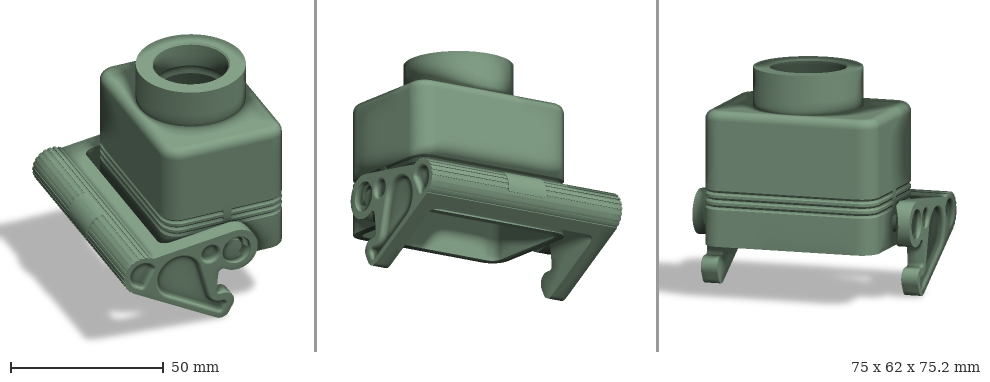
import cadquery as cq
import math

HOUSING_LENGTH = 59.85
HOUSING_WIDTH = 43.0
HOUSING_HEIGHT = 44.8
CORNER_RADIUS = 6.0
TOP_FILLET = 3.0
WALL = 3.0
ROOF = WALL

COLLAR_RADIUS = 18.05
COLLAR_TOP = 57.9
BORE_RADIUS = 12.4
BORE_CHAMFER = 0.5
BORE_DEPTH = 8.6
RELIEF_RADIUS = 13.0
RELIEF_MID_DEPTH = 9.8
RELIEF_DEPTH = 10.9
PASSAGE_RADIUS = 11.4

GROOVE_COUNT = 3
GROOVE_TOP_CENTRE = 17.9
GROOVE_PITCH = 2.4
GROOVE_DEPTH = 0.75
GROOVE_BREAK = 2.85

PIVOT_Z = 7.45
HUB_RADIUS = 7.5
LEVER_HALF_LENGTH = 37.5
ARM_THICKNESS = 5.65
ARM_INNER_X = LEVER_HALF_LENGTH - ARM_THICKNESS
TOP_SLOPE = math.radians(7)
BOTTOM_SLOPE = math.radians(29.2)
OPENING_REACH = 24.6
OPENING_FILLET = 3.0
ARM_TIP_CHAMFER_X = 1.9
ARM_TIP_CHAMFER_Y = 3.4

HANDLE_U = 33.4
HANDLE_V = -1.8
HANDLE_RADIUS = 6.85
GRIP_COUNT = 11
GRIP_FIRST_ANGLE = -52.5
GRIP_PITCH_ANGLE = 16.0
GRIP_WIDTH = 0.8
GRIP_DEPTH = 0.3
LABEL_HALF_LENGTH = 7.4
LABEL_RAISE = 0.3
LABEL_START_ANGLE = -9.0
LABEL_END_ANGLE = 60.0
LABEL_GRIP_ANGLES = (-10.0, 80.0)

HOOK_RADIUS = 3.4
HOOK_CORNER = (5.65, -21.35)
HOOK_TIP = (4.3, -18.9)
THROAT_LOW = (5.95, -14.1)
THROAT_LOW_RADIUS = 1.35
THROAT_HIGH_RADIUS = 1.6
THROAT_HIGH_ANGLE = math.radians(-57)

POCKET_DEPTH = 2.2
POCKET_FILLET = 0.9
POCKET_CORNER = 1.0
ROUND_POCKET = (9.3, 0.6)
ROUND_POCKET_RADIUS = 2.9
LARGE_POCKET = (20.5, -5.5)
LARGE_POCKET_RADIUS = 7.5
LARGE_POCKET_LOW = (5.9, -21.3)
LARGE_POCKET_TIP = (4.95, -19.7)
LARGE_POCKET_THROAT = (5.6, -14.0)
HANDLE_POCKET_RADIUS = 4.3
HANDLE_POCKET_CHORD = 2.5

RECESS_RADIUS = 5.0
RECESS_DEPTH = 2.2
EYE_U = -0.3
EYE_V = 1.0
EYE_RADIUS = 3.0
EYE_SLOT_WIDTH = 3.1
EYE_SLOT_ANGLE = -135
PEG_RADIUS = 2.6
PEG_END_X = LEVER_HALF_LENGTH - RECESS_DEPTH
PEG_CONE_GROWTH = 0.74
PEG_CONE_LENGTH = {-1: 0.4, 1: 1.4}

SIDE_PLANE = cq.Plane(origin=(0, 0, PIVOT_Z), xDir=(0, -1, 0), normal=(-1, 0, 0))
OUTER_PLANE = cq.Plane(
    origin=(-LEVER_HALF_LENGTH, 0, PIVOT_Z), xDir=SIDE_PLANE.xDir, normal=SIDE_PLANE.zDir
)
ALONG = (math.cos(BOTTOM_SLOPE), math.sin(BOTTOM_SLOPE))
DOWN = (math.sin(BOTTOM_SLOPE), -math.cos(BOTTOM_SLOPE))
HANDLE = (HANDLE_U, HANDLE_V)


def shifted(point, along, down):
    """Move a side-plane point along, and square to, the lever's sloping underside."""
    u = point[0] + along * ALONG[0] + down * DOWN[0]
    v = point[1] + along * ALONG[1] + down * DOWN[1]
    return u, v


def tangent_normal_angle(first, second):
    """Angle of the left-hand normal of the line that leaves one circle and meets the next."""
    (u1, v1, r1), (u2, v2, r2) = first, second
    du = u2 - u1
    dv = v2 - v1
    ratio = max(-1.0, min(1.0, (r1 - r2) / math.hypot(du, dv)))
    return math.atan2(dv, du) + math.acos(ratio)


def on_circle(circle, angle):
    """Point of a circle (u, v, radius) at an angle."""
    u, v, radius = circle
    return u + radius * math.cos(angle), v + radius * math.sin(angle)


def tangent_outline(plane, circles):
    """Closed clockwise outline around circles (u, v, radius) joined by tangent lines.

    A negative radius is a concave arc and a zero radius is a sharp corner.
    """
    count = len(circles)
    normals = [tangent_normal_angle(circles[i], circles[(i + 1) % count]) for i in range(count)]
    start = on_circle(circles[0], normals[-1])
    position = start
    outline = cq.Workplane(plane).moveTo(*start)
    for i, circle in enumerate(circles):
        arrive = normals[i - 1]
        leave = normals[i]
        if circle[2] != 0:
            turn = (arrive - leave) % (2 * math.pi)
            if circle[2] < 0:
                turn -= 2 * math.pi
            position = on_circle(circle, leave)
            outline = outline.threePointArc(on_circle(circle, arrive - turn / 2), position)
        target = on_circle(circles[(i + 1) % count], leave)
        if math.dist(position, target) > 0.001 and i < count - 1:
            outline = outline.lineTo(*target)
            position = target
    return outline.close()


def rounded_block(length, width, height, radius):
    """Block standing on Z = 0 with rounded vertical edges."""
    block = cq.Workplane("XY").rect(length, width).extrude(height)
    return block.edges("|Z").fillet(radius)


def groove_ring(centre_z):
    """V groove around the housing, left out on a strip in the middle of both end walls."""
    slab = rounded_block(HOUSING_LENGTH, HOUSING_WIDTH, GROOVE_DEPTH, CORNER_RADIUS)
    path = slab.translate((0, 0, centre_z)).faces("<Z").wires().val()
    tip = (GROOVE_DEPTH, 0)
    upper = (-GROOVE_DEPTH, 2 * GROOVE_DEPTH)
    lower = (-GROOVE_DEPTH, -2 * GROOVE_DEPTH)
    section = cq.Workplane("YZ", origin=(0, -HOUSING_WIDTH / 2, centre_z)).polyline([upper, tip, lower]).close()
    ring = section.sweep(cq.Workplane(path))
    strip = cq.Workplane("XY", origin=(0, 0, centre_z)).box(2 * HOUSING_LENGTH, GROOVE_BREAK, GROOVE_PITCH)
    return ring.cut(strip)


def cable_entry():
    """Stepped round passage through the collar and the roof."""
    return (
        cq.Workplane("XZ")
        .moveTo(0, COLLAR_TOP)
        .lineTo(BORE_RADIUS + BORE_CHAMFER, COLLAR_TOP)
        .lineTo(BORE_RADIUS, COLLAR_TOP - BORE_CHAMFER)
        .lineTo(BORE_RADIUS, COLLAR_TOP - BORE_DEPTH)
        .threePointArc(
            (RELIEF_RADIUS, COLLAR_TOP - RELIEF_MID_DEPTH),
            (PASSAGE_RADIUS, COLLAR_TOP - RELIEF_DEPTH),
        )
        .lineTo(PASSAGE_RADIUS, HOUSING_HEIGHT / 2)
        .lineTo(0, HOUSING_HEIGHT / 2)
        .close()
        .revolve(360, (0, 0, 0), (0, 1, 0))
    )


def peg(side):
    """Pivot peg on one end wall: a short cone and then a plain shaft."""
    wall_x = HOUSING_LENGTH / 2
    cone_length = PEG_CONE_LENGTH[side]
    base_radius = PEG_RADIUS + PEG_CONE_GROWTH * cone_length
    root_x = wall_x - WALL / 2
    profile = [
        (root_x, 0),
        (root_x, base_radius),
        (wall_x, base_radius),
        (wall_x + cone_length, PEG_RADIUS),
        (PEG_END_X, PEG_RADIUS),
        (PEG_END_X, 0),
    ]
    points = [(side * x, y) for x, y in profile]
    half = cq.Workplane("XY", origin=(0, 0, PIVOT_Z)).polyline(points).close()
    return half.revolve(360, (0, 0, 0), (1, 0, 0))


def make_housing():
    body = rounded_block(HOUSING_LENGTH, HOUSING_WIDTH, HOUSING_HEIGHT, CORNER_RADIUS)
    body = body.faces(">Z").edges().fillet(TOP_FILLET)
    collar_base = HOUSING_HEIGHT - ROOF / 2
    collar = cq.Workplane("XY", origin=(0, 0, collar_base)).circle(COLLAR_RADIUS)
    body = body.union(collar.extrude(COLLAR_TOP - collar_base))
    cavity = rounded_block(
        HOUSING_LENGTH - 2 * WALL, HOUSING_WIDTH - 2 * WALL, HOUSING_HEIGHT - ROOF, CORNER_RADIUS - WALL
    )
    body = body.cut(cavity).cut(cable_entry())
    for i in range(GROOVE_COUNT):
        body = body.cut(groove_ring(GROOVE_TOP_CENTRE - i * GROOVE_PITCH))
    for side in (-1, 1):
        body = body.union(peg(side))
    return body


def across(outline):
    """Extrude a side-plane outline over the full length of the lever."""
    return outline.extrude(LEVER_HALF_LENGTH, both=True)


def lever_body():
    top_v = HUB_RADIUS / math.cos(TOP_SLOPE) - HANDLE_U * math.tan(TOP_SLOPE)
    throat_distance = HUB_RADIUS + THROAT_HIGH_RADIUS
    throat_high = on_circle((0, 0, throat_distance), THROAT_HIGH_ANGLE)
    circles = [
        (0, 0, HUB_RADIUS),
        (HANDLE_U, top_v, 0),
        (*shifted(HANDLE, 0, HANDLE_RADIUS), 0),
        (*HOOK_CORNER, HOOK_RADIUS),
        (*HOOK_TIP, HOOK_RADIUS),
        (*THROAT_LOW, -THROAT_LOW_RADIUS),
        (*throat_high, -THROAT_HIGH_RADIUS),
    ]
    return across(tangent_outline(SIDE_PLANE, circles))


def grip_groove(angle):
    """Shallow lengthwise groove in the handle, kept clear of the label where they meet."""
    groove = (
        cq.Workplane("XY")
        .box(2 * LEVER_HALF_LENGTH, 2 * GRIP_DEPTH, GRIP_WIDTH)
        .translate((0, -HANDLE_RADIUS, 0))
        .rotate((0, 0, 0), (1, 0, 0), -angle)
        .translate((0, -HANDLE_U, PIVOT_Z + HANDLE_V))
    )
    first, last = LABEL_GRIP_ANGLES
    if first < angle < last:
        keep = cq.Workplane(SIDE_PLANE).center(*HANDLE).circle(2 * HANDLE_RADIUS)
        groove = groove.cut(keep.extrude(LABEL_HALF_LENGTH, both=True))
    return groove


def label_plate():
    """Raised curved plate in the middle of the handle."""
    outer = (0, 0, HANDLE_RADIUS + LABEL_RAISE)
    start = math.radians(LABEL_START_ANGLE)
    end = math.radians(LABEL_END_ANGLE)
    sector = (
        cq.Workplane(SIDE_PLANE)
        .center(*HANDLE)
        .lineTo(*on_circle(outer, start))
        .threePointArc(on_circle(outer, (start + end) / 2), on_circle(outer, end))
        .close()
    )
    return sector.extrude(LABEL_HALF_LENGTH, both=True)


def arm_opening():
    """Space between the arms; its end wall is square to the sloping underside."""
    top_v = HUB_RADIUS / math.cos(TOP_SLOPE) - OPENING_REACH * math.tan(TOP_SLOPE)
    size = 2 * HANDLE_U
    plane = cq.Plane(
        origin=(0, -OPENING_REACH, PIVOT_Z + top_v),
        xDir=(1, 0, 0),
        normal=(0, DOWN[0], -DOWN[1]),
    )
    block = cq.Workplane(plane).center(0, size / 2).rect(2 * ARM_INNER_X, size).extrude(size, both=True)
    return block.edges(cq.selectors.ParallelDirSelector(plane.zDir)).fillet(OPENING_FILLET)


def arm_tip_chamfer(side):
    """Wedge that bevels the inner corner at the +Y end of an arm."""
    inner = side * ARM_INNER_X
    outer = side * (ARM_INNER_X + ARM_TIP_CHAMFER_X)
    corners = [(inner, HUB_RADIUS - ARM_TIP_CHAMFER_Y), (outer, HUB_RADIUS), (inner, HUB_RADIUS)]
    wedge = cq.Workplane("XY", origin=(0, 0, PIVOT_Z)).polyline(corners).close()
    return wedge.extrude(HUB_RADIUS, both=True)


def side_pockets():
    """Outlines of the three pockets in the outer face of an arm."""
    round_pocket = cq.Workplane(OUTER_PLANE).center(*ROUND_POCKET).circle(ROUND_POCKET_RADIUS)
    throat_radius = math.dist(LARGE_POCKET_TIP, LARGE_POCKET_THROAT) - POCKET_CORNER
    large_pocket = tangent_outline(OUTER_PLANE, [
        (*LARGE_POCKET, LARGE_POCKET_RADIUS),
        (*LARGE_POCKET_LOW, POCKET_CORNER),
        (*LARGE_POCKET_TIP, POCKET_CORNER),
        (*LARGE_POCKET_THROAT, -throat_radius),
    ])
    inner_radius = HANDLE_POCKET_RADIUS - POCKET_CORNER
    chord = HANDLE_POCKET_CHORD - POCKET_CORNER
    upper = math.sqrt(inner_radius ** 2 - chord ** 2)
    handle_pocket = tangent_outline(OUTER_PLANE, [
        (*HANDLE, HANDLE_POCKET_RADIUS),
        (*shifted(HANDLE, -chord, inner_radius), POCKET_CORNER),
        (*shifted(HANDLE, -chord, -upper), POCKET_CORNER),
    ])
    return [round_pocket, large_pocket, handle_pocket]


def cut_side_pockets(lever):
    """Cut the pockets into both arms, with rounded floor edges and rounded rims."""
    for outline in side_pockets():
        pocket = outline.extrude(-POCKET_DEPTH).faces(">X").edges().fillet(POCKET_FILLET)
        lever = lever.cut(pocket).cut(pocket.mirror("YZ"))
    for end_face in ("<X", ">X"):
        rims = lever.faces(end_face).val().innerWires()
        rim_edges = [edge for rim in rims for edge in rim.Edges()]
        lever = lever.newObject(rim_edges).fillet(POCKET_FILLET)
    return lever


def pivot_eye():
    """Through eye and assembly slot in the recess floor of the -X arm, within the recess circle."""
    eye = cq.Workplane(SIDE_PLANE).center(EYE_U, EYE_V).circle(EYE_RADIUS).extrude(LEVER_HALF_LENGTH)
    slot = (
        cq.Workplane(SIDE_PLANE)
        .center(EYE_U, EYE_V)
        .transformed(rotate=(0, 0, EYE_SLOT_ANGLE))
        .center(RECESS_RADIUS, 0)
        .rect(2 * RECESS_RADIUS, EYE_SLOT_WIDTH)
        .extrude(LEVER_HALF_LENGTH)
    )
    limit = cq.Workplane(SIDE_PLANE).circle(RECESS_RADIUS).extrude(LEVER_HALF_LENGTH)
    return eye.union(slot).intersect(limit)


def cut_pivots(lever):
    """Cut the recess, the peg socket and the eye into both arms."""
    recess = cq.Workplane(OUTER_PLANE).circle(RECESS_RADIUS).extrude(-RECESS_DEPTH)
    peg_socket = cq.Workplane(SIDE_PLANE).circle(PEG_RADIUS).extrude(PEG_END_X)
    for cut in (recess, peg_socket, pivot_eye()):
        lever = lever.cut(cut).cut(cut.mirror("YZ"))
    return lever


def make_lever():
    lever = lever_body()
    lever = lever.union(across(cq.Workplane(SIDE_PLANE).center(*HANDLE).circle(HANDLE_RADIUS)))
    for i in range(GRIP_COUNT):
        lever = lever.cut(grip_groove(GRIP_FIRST_ANGLE + i * GRIP_PITCH_ANGLE))
    lever = lever.union(label_plate())
    lever = lever.cut(arm_opening())
    for side in (-1, 1):
        lever = lever.cut(arm_tip_chamfer(side))
    lever = cut_side_pockets(lever)
    return cut_pivots(lever)


housing = make_housing()
lever = make_lever()
result = cq.Compound.makeCompound([housing.val(), lever.val()])